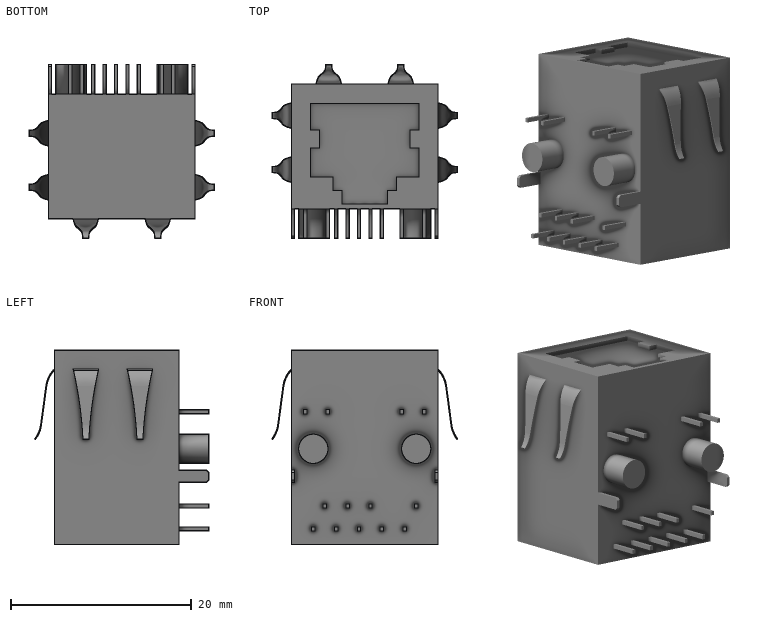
import cadquery as cq
import math


overall_width = 20.65
overall_depth = 19.34
body_height = 21.59
spring_reach = 2.175
pin_length = 3.3

body_width = overall_width - 2 * spring_reach
body_depth = overall_depth - spring_reach - pin_length
half_width = body_width / 2

pocket_depth = 0.5
pocket_width = 12.0
pocket_floor_y = 2.0
pocket_ceiling_y = 11.7
ear_depth = 1.0
ear_low_y = 6.75
ear_high_y = 8.75
latch_width = 5.0
latch_floor_y = 0.55
corner_block_width = 2.5
corner_block_height = 1.5

pin_pitch = 2.54
pin_width = 0.38
pin_thickness = 0.46
signal_row_z = 1.75
second_row_z = signal_row_z + pin_pitch
led_row_z = 14.75
led_outer_x = 6.63
peg_diameter = 3.25
peg_x = 5.715
peg_above_signal_row = 3.5 * pin_pitch
peg_z = signal_row_z + peg_above_signal_row
tab_thickness = 0.37
tab_width = 1.36
tab_chamfer = 0.25
tab_below_peg = 3.05
tab_z = peg_z - tab_below_peg

signal_row_x = [-peg_x + i * pin_pitch for i in range(5)]
second_row_x = [-peg_x + (i + 0.5) * pin_pitch for i in (0, 1, 2, 4)]
led_row_x = [side * x for side in (-1, 1) for x in (led_outer_x, led_outer_x - pin_pitch)]

inlay_size = 1.0
inlay_depth = 0.3
inlay_y = 4.4
inlay_z = 1.05

spring_thickness = 0.1
spring_root_z = 19.5
spring_root_half_width = 1.42
spring_mid_half_width = 0.69
spring_tip_half_width = 0.33
spring_tip_z = 11.65
root_angle = math.radians(45)
shank_angle = math.radians(7.75)
tip_angle = math.radians(38)
root_radius = 3.3
tip_radius = 3.2
side_spring_y = (4.35, 10.35)
back_spring_x = (-4.0, 4.0)


def box(x_range, y_range, z_range):
    """Axis-aligned box given by its limits along each axis."""
    size = [high - low for low, high in (x_range, y_range, z_range)]
    corner = (x_range[0], y_range[0], z_range[0])
    return cq.Workplane("XY").box(*size, centered=False).translate(corner)


def around(center, size):
    """Limits of a length centred on a coordinate."""
    return (center - size / 2, center + size / 2)


def make_body():
    """Housing with its shield tabs and the stepped pocket sunk into its mouth face."""
    body = box((-half_width, half_width), (0, body_depth), (0, body_height))
    z_range = (body_height - pocket_depth, body_height)
    half_pocket = pocket_width / 2
    pocket = box((-half_pocket, half_pocket), (pocket_floor_y, pocket_ceiling_y), z_range)
    pocket = pocket.union(box(around(0, latch_width), (latch_floor_y, pocket_ceiling_y), z_range))
    for side in (-1, 1):
        ear_x = side * (half_pocket - ear_depth / 2)
        pocket = pocket.cut(box(around(ear_x, ear_depth), (ear_low_y, ear_high_y), z_range))
    body = body.cut(pocket)
    for tab in make_tabs():
        body = body.union(tab)

    block_y = (pocket_floor_y, pocket_floor_y + corner_block_height)
    for side in (-1, 1):
        block_x = side * (half_pocket - corner_block_width / 2)
        body = body.union(box(around(block_x, corner_block_width), block_y, z_range), clean=False)
    return body


def add_inlay(body):
    """Square inlay set flush into the -X side, with its seam kept."""
    x_range = (-half_width, -half_width + inlay_depth)
    inlay = box(x_range, around(inlay_y, inlay_size), around(inlay_z, inlay_size))
    return body.cut(inlay, clean=False).union(inlay, clean=False)


def make_pins():
    """All rectangular solder pins, standing out of the Y = 0 face."""
    places = [(x, signal_row_z) for x in signal_row_x]
    places += [(x, second_row_z) for x in second_row_x]
    places += [(x, led_row_z) for x in led_row_x]
    return [box(around(x, pin_width), (-pin_length, 0), around(z, pin_thickness)) for x, z in places]


def make_pegs():
    """Two round locating pegs."""
    plane = cq.Workplane("XZ")
    return [plane.center(side * peg_x, peg_z).circle(peg_diameter / 2).extrude(pin_length) for side in (-1, 1)]


def make_tabs():
    """Shield tabs flush with the two sides, with chamfered tips."""
    tabs = []
    for side in (-1, 1):
        x_range = around(side * (half_width - tab_thickness / 2), tab_thickness)
        tab = box(x_range, (-pin_length, 0), around(tab_z, tab_width))
        tabs.append(tab.faces("<Y").edges("|X").chamfer(tab_chamfer))
    return tabs


def make_spring():
    """Leaf spring leaving the plane X = 0 towards +X, centred on Y = 0, as two mirrored halves.

    Its S-shaped profile is an arc, a straight shank and a reverse arc.
    Angles are measured from the downward direction.
    """
    root_center_x = -root_radius * math.cos(root_angle)
    root_center_z = spring_root_z - root_radius * math.sin(root_angle)
    root_run = root_radius * (math.cos(shank_angle) - math.cos(root_angle))
    tip_run = tip_radius * (math.cos(shank_angle) - math.cos(tip_angle))
    shank_length = (spring_reach - root_run - tip_run) / math.sin(shank_angle)
    center_gap = root_radius + tip_radius
    tip_center_x = (root_center_x + center_gap * math.cos(shank_angle)
                    + shank_length * math.sin(shank_angle))
    tip_center_z = (root_center_z + center_gap * math.sin(shank_angle)
                    - shank_length * math.cos(shank_angle))

    def root_point(angle, inset):
        radius = root_radius - inset
        return (root_center_x + radius * math.cos(angle), root_center_z + radius * math.sin(angle))

    def tip_point(angle, inset):
        radius = tip_radius + inset
        return (tip_center_x - radius * math.cos(angle), tip_center_z - radius * math.sin(angle))

    root_middle = (root_angle + shank_angle) / 2
    tip_middle = (tip_angle + shank_angle) / 2
    inner = spring_thickness
    leaf = (
        cq.Workplane("XZ")
        .moveTo(*root_point(root_angle, 0))
        .threePointArc(root_point(root_middle, 0), root_point(shank_angle, 0))
        .lineTo(*tip_point(shank_angle, 0))
        .threePointArc(tip_point(tip_middle, 0), tip_point(tip_angle, 0))
        .lineTo(*tip_point(tip_angle, inner))
        .threePointArc(tip_point(tip_middle, inner), tip_point(shank_angle, inner))
        .lineTo(*root_point(shank_angle, inner))
        .threePointArc(root_point(root_middle, inner), root_point(root_angle, inner))
        .close()
        .extrude(spring_root_half_width, both=True)
    )

    middle_z = (spring_root_z + spring_tip_z) / 2
    half_outline = (
        cq.Workplane("YZ", origin=(-spring_reach, 0, 0))
        .moveTo(0, spring_root_z)
        .lineTo(spring_root_half_width, spring_root_z)
        .threePointArc((spring_mid_half_width, middle_z), (spring_tip_half_width, spring_tip_z))
        .lineTo(0, spring_tip_z)
        .close()
        .extrude(3 * spring_reach)
    )
    half = leaf.intersect(half_outline)
    return half.union(half.mirror("XZ"), clean=False)


def make_springs():
    """Two springs on each side and two on the back."""
    spring = make_spring()
    turned = {angle: spring.rotate((0, 0, 0), (0, 0, 1), angle) for angle in (0, 90, 180)}
    springs = [turned[0].translate((half_width, y, 0)) for y in side_spring_y]
    springs += [turned[180].translate((-half_width, y, 0)) for y in side_spring_y]
    springs += [turned[90].translate((x, body_depth, 0)) for x in back_spring_x]
    return springs


result = add_inlay(make_body())
for feature in make_pins() + make_pegs() + make_springs():
    result = result.union(feature, clean=False)